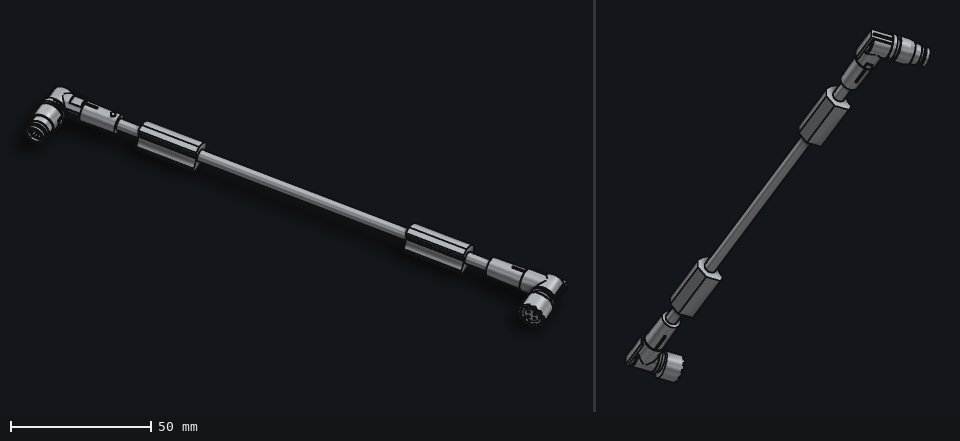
import cadquery as cq
import math

END_X = 103.735
BACK_Y = 4.85
TIP_Y = -18.85
CABLE_D = 4.5

CLIP_START = 42.2
CLIP_LENGTH = 23.3
CLIP_HALF = BACK_Y
CLIP_NOSE_Y = -3.0
CLIP_NOSE_TOP_Z = 4.1
CLIP_NOSE_LOW_Z = 3.0
CLIP_TOP_Y = -0.6
CLIP_TOP_ARC_MIDDLE = (1.4, 4.5)
CLIP_SHOULDER = (3.2, 3.5)
CLIP_SIDE_TOP_Z = 2.0
CLIP_GROOVE_Y = -2.3
CLIP_GROOVE_Z = 1.1
CLIP_RAMP_TOP_Y = -3.1
CLIP_RAMP_ARC_MIDDLE = (-3.6, -0.9)
CLIP_FOOT_TOP_Z = -2.4
CLIP_FOOT_LOW_Z = -3.4
CLIP_FOOT_Y = -4.0
CLIP_LOW_FLAT = 1.6

SLEEVE_OUTER_X = 88.6
SLEEVE_INNER_X = 74.8
SLEEVE_LARGE_D = 7.9
SLEEVE_SMALL_D = 7.4
BUMP_X = 77.2
BUMP_D = 1.8
BUMP_TOP_Z = 4.2
RIB_WIDTH = 0.5
RIB_HEIGHT = 4.25
TOP_RIB_LENGTH = 5.0
BOTTOM_RIB_LENGTH = 8.6

PLUG_X = 98.5
BODY_D = 8.9
BODY_BACK_Y = 3.8
BODY_BACK_CHAMFER = 0.5
BODY_FRONT_Y = -5.4
PLATE_HALF_Z = 2.0
PLATE_INNER_X = 89.9
OUTER_RIB_X = 103.1
OUTER_RIB_GROOVE_WIDTH = 0.6
OUTER_RIB_GROOVE_DEPTH = 0.4
FLANGE_D = 9.7
FLANGE_THICKNESS = 1.0
ARM_D = 8.6
NECK_D = 7.6
WINDOW_X = 91.5
WINDOW_LENGTH = 4.6
WINDOW_WIDTH = 4.0
WINDOW_DEPTH = 0.7
WINDOW_BAR = 1.0
ARM_FOOT_X = 90.5
ARM_FOOT_SIZE = 2.4
ARM_FOOT_BOTTOM_Z = -4.8

MALE_X = -(END_X - FLANGE_D / 2)
FLANGE_BACK_Y = -3.7
MALE_NUT_BACK_Y = -6.8
MALE_NUT_TAPER_Y = -10.6
LUG_REACH = 5.35
LUG_WIDTH = 3.0
LUG_BACK_Y = -7.4
LUG_FRONT_Y = -9.9
MALE_NUT_FRONT_Y = -12.6
MALE_NUT_FRONT_D = 9.0
STEP_D = 8.0
STEP_FRONT_Y = -15.4
GROOVE_D = 6.4
TIP_D = 7.2
TIP_BACK_Y = -17.3
BACK_RING_D = 7.4
BACK_RING_FRONT_Y = -16.5
MALE_BORE_D = 5.6
MALE_BORE_DEPTH = 4.0

FEMALE_NUT_D = 10.4
FEMALE_X = 98.35
FEMALE_Z = -1.08
FEMALE_NUT_BACK_Y = -6.9
FEMALE_NUT_FRONT_Y = -13.9
FEMALE_BORE_D = 8.2
FEMALE_BORE_DEPTH = 4.0
INSERT_D = 6.0
INSERT_SETBACK = 0.4
RIM_NOTCHES = 12
RIM_NOTCH_WIDTH = 1.0
RIM_NOTCH_DEPTH = 0.5
INDEX_MARK_SIZE = 0.6

CONTACTS = 4
CONTACT_CIRCLE_D = 3.4
CONTACT_D = 1.0
CONTACT_DEPTH = 3.5

PLUG_OVERLAP = 1.0


def cylinder_x(x_start, x_end, diameter):
    return cq.Workplane("YZ", origin=(x_start, 0, 0)).circle(diameter / 2).extrude(x_end - x_start)


def cylinder_y(x, z, y_back, y_front, diameter):
    """Cylinder running from y_back toward -Y."""
    return cq.Workplane("XZ", origin=(x, y_back, z)).circle(diameter / 2).extrude(y_back - y_front)


def box_between(low, high):
    size = [high[i] - low[i] for i in range(3)]
    return cq.Workplane("XY").box(*size, centered=False).translate(low)


def contact_places(x, z):
    """Centres of the contacts, on the diagonals of the plug face."""
    radius = CONTACT_CIRCLE_D / 2
    places = []
    for i in range(CONTACTS):
        angle = 2 * math.pi * (i + 0.5) / CONTACTS
        places.append((x + radius * math.cos(angle), z + radius * math.sin(angle)))
    return places


def marker_clip(x_start):
    """Extruded label holder that wraps the cable, with an undercut label groove on the -Y side."""
    edge = CLIP_HALF
    return (
        cq.Workplane("YZ", origin=(x_start, 0, 0))
        .moveTo(CLIP_FOOT_Y, -edge)
        .lineTo(-edge, CLIP_FOOT_LOW_Z)
        .lineTo(-edge, CLIP_FOOT_TOP_Z)
        .threePointArc(CLIP_RAMP_ARC_MIDDLE, (CLIP_RAMP_TOP_Y, CLIP_GROOVE_Z))
        .lineTo(CLIP_GROOVE_Y, CLIP_GROOVE_Z)
        .lineTo(CLIP_NOSE_Y, CLIP_NOSE_LOW_Z)
        .lineTo(CLIP_NOSE_Y, CLIP_NOSE_TOP_Z)
        .lineTo(CLIP_TOP_Y, edge)
        .threePointArc(CLIP_TOP_ARC_MIDDLE, CLIP_SHOULDER)
        .lineTo(edge, CLIP_SIDE_TOP_Z)
        .lineTo(edge, -CLIP_LOW_FLAT)
        .lineTo(CLIP_LOW_FLAT, -edge)
        .close()
        .extrude(CLIP_LENGTH)
    )


def sleeve():
    """Tapered sleeve on the +X side with its top and bottom ribs."""
    cone = (
        cq.Workplane("YZ", origin=(SLEEVE_INNER_X, 0, 0))
        .circle(SLEEVE_SMALL_D / 2)
        .workplane(offset=SLEEVE_OUTER_X - SLEEVE_INNER_X)
        .circle(SLEEVE_LARGE_D / 2)
        .loft()
    )
    top_rib = box_between(
        (SLEEVE_OUTER_X - TOP_RIB_LENGTH, -RIB_WIDTH / 2, 0),
        (SLEEVE_OUTER_X, RIB_WIDTH / 2, RIB_HEIGHT),
    )
    bottom_rib = box_between(
        (SLEEVE_OUTER_X - BOTTOM_RIB_LENGTH, -RIB_WIDTH / 2, -RIB_HEIGHT),
        (SLEEVE_OUTER_X, RIB_WIDTH / 2, 0),
    )
    return cone.union(top_rib).union(bottom_rib)


def elbow():
    """Right-angle body on the +X side: arm, barrel, back plate, grooved outer rib, flange and neck."""
    arm = cylinder_x(SLEEVE_OUTER_X, PLUG_X, ARM_D)
    barrel = cylinder_y(PLUG_X, 0, BODY_BACK_Y, BODY_FRONT_Y, BODY_D)
    barrel = barrel.faces(">Y").chamfer(BODY_BACK_CHAMFER)
    plate = box_between(
        (PLATE_INNER_X, 0, -PLATE_HALF_Z),
        (OUTER_RIB_X, BACK_Y, PLATE_HALF_Z),
    )
    outer_rib = box_between(
        (PLUG_X, BODY_FRONT_Y, -PLATE_HALF_Z),
        (OUTER_RIB_X, BODY_BACK_Y, PLATE_HALF_Z),
    )
    flange = cylinder_y(PLUG_X, 0, BODY_FRONT_Y + FLANGE_THICKNESS, BODY_FRONT_Y, FLANGE_D)
    groove = box_between(
        (OUTER_RIB_X - OUTER_RIB_GROOVE_DEPTH, BODY_FRONT_Y + FLANGE_THICKNESS, -OUTER_RIB_GROOVE_WIDTH / 2),
        (OUTER_RIB_X, BODY_BACK_Y, OUTER_RIB_GROOVE_WIDTH / 2),
    )
    neck = cylinder_y(PLUG_X, 0, BODY_FRONT_Y + PLUG_OVERLAP, FEMALE_NUT_BACK_Y - PLUG_OVERLAP, NECK_D)
    solid = arm.union(barrel).union(plate).union(outer_rib)
    return solid.cut(groove).union(flange).union(neck)


def window_pockets():
    """Shallow arm pockets of the male elbow: one on top, and two on the -Y side split by a bar."""
    x_low = -WINDOW_X - WINDOW_LENGTH / 2
    x_high = -WINDOW_X + WINDOW_LENGTH / 2
    floor = ARM_D / 2 - WINDOW_DEPTH
    half = WINDOW_WIDTH / 2
    top = box_between((x_low, -half, floor), (x_high, half, ARM_D))
    side = box_between((x_low, -ARM_D, -half), (x_high, -floor, half))
    bar = box_between((x_low, -ARM_D, -WINDOW_BAR / 2), (x_high, -floor, WINDOW_BAR / 2))
    return top.union(side.cut(bar))


def male_plug():
    """Stepped snap-in plug with a side lug on its nut and a pin socket."""
    profile = [
        (0, FLANGE_BACK_Y),
        (FLANGE_D / 2, FLANGE_BACK_Y),
        (FLANGE_D / 2, BODY_FRONT_Y),
        (NECK_D / 2, BODY_FRONT_Y),
        (NECK_D / 2, MALE_NUT_BACK_Y),
        (FLANGE_D / 2, MALE_NUT_BACK_Y),
        (FLANGE_D / 2, MALE_NUT_TAPER_Y),
        (MALE_NUT_FRONT_D / 2, MALE_NUT_FRONT_Y),
        (STEP_D / 2, MALE_NUT_FRONT_Y),
        (STEP_D / 2, STEP_FRONT_Y),
        (BACK_RING_D / 2, STEP_FRONT_Y),
        (BACK_RING_D / 2, BACK_RING_FRONT_Y),
        (GROOVE_D / 2, BACK_RING_FRONT_Y),
        (GROOVE_D / 2, TIP_BACK_Y),
        (TIP_D / 2, TIP_BACK_Y),
        (TIP_D / 2, TIP_Y),
        (0, TIP_Y),
    ]
    plug = cq.Workplane("XY").polyline(profile).close().revolve(360, (0, 0, 0), (0, 1, 0))
    plug = plug.translate((MALE_X, 0, 0))
    lug = box_between(
        (MALE_X, LUG_FRONT_Y, -LUG_WIDTH / 2),
        (MALE_X + LUG_REACH, LUG_BACK_Y, LUG_WIDTH / 2),
    )
    plug = plug.union(lug)
    bore_floor_y = TIP_Y + MALE_BORE_DEPTH
    plug = plug.cut(cylinder_y(MALE_X, 0, bore_floor_y, TIP_Y, MALE_BORE_D))
    for x, z in contact_places(MALE_X, 0):
        pin = cylinder_y(x, z, bore_floor_y + PLUG_OVERLAP, bore_floor_y - CONTACT_DEPTH, CONTACT_D)
        plug = plug.union(pin)
    return plug


def female_plug():
    """Round nut with a notched rim around a contact insert."""
    front = FEMALE_NUT_FRONT_Y
    bore_floor_y = front + FEMALE_BORE_DEPTH
    nut = cylinder_y(FEMALE_X, FEMALE_Z, FEMALE_NUT_BACK_Y, front, FEMALE_NUT_D)
    nut = nut.cut(cylinder_y(FEMALE_X, FEMALE_Z, bore_floor_y, front, FEMALE_BORE_D))
    for i in range(RIM_NOTCHES):
        notch = (
            cq.Workplane("XY")
            .box(FEMALE_BORE_D / 2, RIM_NOTCH_DEPTH, RIM_NOTCH_WIDTH)
            .translate((FEMALE_NUT_D / 2, front + RIM_NOTCH_DEPTH / 2, 0))
            .rotate((0, 0, 0), (0, 1, 0), 360 * (i + 0.5) / RIM_NOTCHES)
            .translate((FEMALE_X, 0, FEMALE_Z))
        )
        nut = nut.cut(notch)
    insert_front = front + INSERT_SETBACK
    nut = nut.union(cylinder_y(FEMALE_X, FEMALE_Z, bore_floor_y + PLUG_OVERLAP, insert_front, INSERT_D))
    for x, z in contact_places(FEMALE_X, FEMALE_Z):
        nut = nut.cut(cylinder_y(x, z, insert_front + CONTACT_DEPTH, insert_front, CONTACT_D))
    half = INDEX_MARK_SIZE / 2
    index_mark = box_between(
        (FEMALE_X + FEMALE_BORE_D / 2, front + half, FEMALE_Z - half),
        (END_X, front + half + INDEX_MARK_SIZE, FEMALE_Z + half),
    )
    return nut.union(index_mark)


result = cylinder_x(-SLEEVE_OUTER_X, SLEEVE_OUTER_X, CABLE_D)
for clip_x in (CLIP_START, -CLIP_START - CLIP_LENGTH):
    result = result.union(marker_clip(clip_x))

connector = sleeve().union(elbow())
result = result.union(connector).union(connector.mirror("YZ"))

result = result.cut(window_pockets())
bump = cq.Workplane("XY").circle(BUMP_D / 2).extrude(BUMP_TOP_Z).translate((-BUMP_X, 0, 0))
foot = cq.Workplane("XY").rect(ARM_FOOT_SIZE, ARM_FOOT_SIZE).extrude(ARM_FOOT_BOTTOM_Z)
result = result.union(foot.translate((-ARM_FOOT_X, 0, 0)))
result = result.union(bump).union(male_plug())

result = result.union(female_plug())